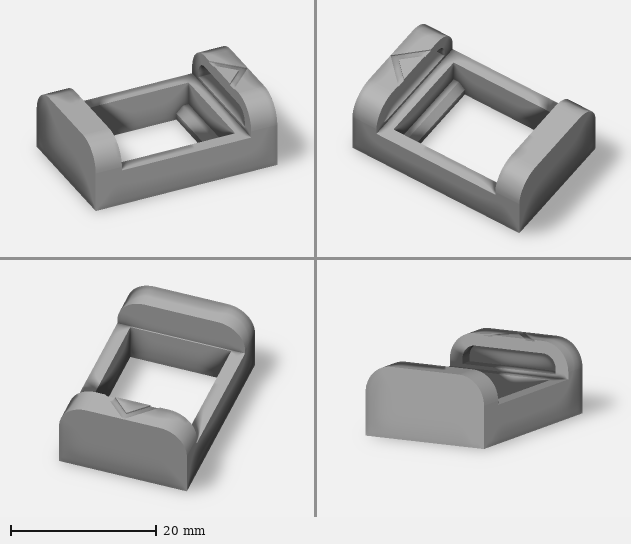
import cadquery as cq

length = 27.8
width = 18.7
base_height = 5.5
rail_width = 1.97

wall_thickness = 4.0
front_wall_height = 10.1
back_wall_height = 10.5
shoulder_radius = 4.0

window_front_offset = 0.2
window_back_offset = 1.5

ledge_height = 2.0
ledge_flat = 0.85
ledge_chamfer = 1.0

recess_side_margin = 2.0
recess_top_margin = 1.75
recess_sill = 0.5
recess_depth = 2.0
recess_radius = 2.0

chevron_half_width = 4.0
chevron_band = 1.4
chevron_depth = 0.22

back_wall_face = length / 2 - wall_thickness
front_wall_face = wall_thickness - length / 2
window_width = width - 2 * rail_width
window_front = front_wall_face + window_front_offset
window_back = back_wall_face - window_back_offset


def end_wall(y_start, height):
    """Full-height end block with rounded upper shoulders."""
    return (
        cq.Workplane("XY")
        .box(width, wall_thickness, height, centered=(True, False, False))
        .edges("|Y and >Z")
        .fillet(shoulder_radius)
        .translate((0, y_start, 0))
    )


def window():
    """Rectangular opening through the base, between the end walls."""
    return (
        cq.Workplane("XY")
        .box(window_width, window_back - window_front, base_height, centered=(True, False, False))
        .translate((0, window_front, 0))
    )


def ledge():
    """Chamfered strip joining the two rails at the back of the window."""
    front = window_back - ledge_flat - ledge_chamfer
    return (
        cq.Workplane("YZ")
        .moveTo(window_back, 0)
        .lineTo(front, 0)
        .lineTo(front, ledge_height - ledge_chamfer)
        .lineTo(window_back - ledge_flat, ledge_height)
        .lineTo(window_back, ledge_height)
        .close()
        .extrude(window_width / 2, both=True)
    )


def recess():
    """Blind pocket with rounded upper corners."""
    bottom = base_height + recess_sill
    height = back_wall_height - recess_top_margin - bottom
    return (
        cq.Workplane("XY")
        .box(width - 2 * recess_side_margin, recess_depth, height, centered=(True, False, False))
        .edges("|Y and >Z")
        .fillet(recess_radius)
        .translate((0, back_wall_face, bottom))
    )


def chevron():
    """Shallow 45 degree arrow groove with its tip on the back edge."""
    tip = back_wall_face + chevron_half_width
    inner_half_width = chevron_half_width - chevron_band
    return (
        cq.Workplane("XY", origin=(0, 0, back_wall_height - chevron_depth))
        .moveTo(-chevron_half_width, back_wall_face)
        .lineTo(0, tip)
        .lineTo(chevron_half_width, back_wall_face)
        .lineTo(inner_half_width, back_wall_face)
        .lineTo(0, tip - chevron_band)
        .lineTo(-inner_half_width, back_wall_face)
        .close()
        .extrude(chevron_depth)
    )


base = cq.Workplane("XY").box(width, length, base_height, centered=(True, True, False))
body = base.union(end_wall(-length / 2, front_wall_height))
body = body.union(end_wall(back_wall_face, back_wall_height))
result = body.cut(window()).union(ledge()).cut(recess()).cut(chevron())